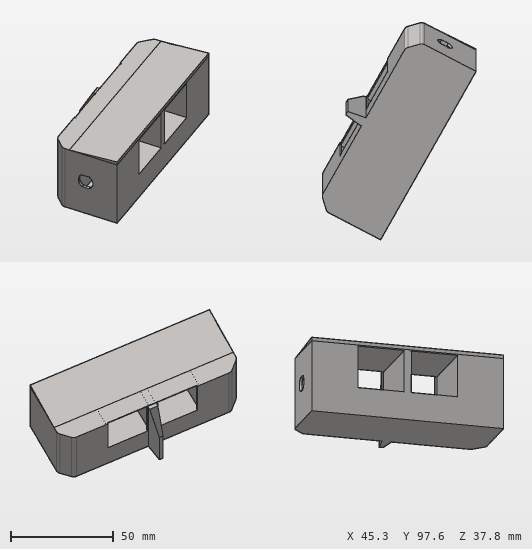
import cadquery as cq

BLOCK_LENGTH = 97.6
BLOCK_DEPTH = 35.9
BLOCK_HEIGHT = 35.9
CORNER_CHAMFER = 6.1
CORNER_RADIUS = 3.0

CAP_DEPTH = 26.2
TOTAL_HEIGHT = 37.8

WINDOW_SPAN = 48.6
WINDOW_FLOOR = 14.2
WINDOW_CEILING = 35.3
POST_WIDTH = 5.6
LIP_SETBACK = 0.4
LIP_DEPTH = 1.0
SIDE_RELIEF = 1.0

RIB_LENGTH = 9.4
RIB_TIP_WIDTH = 2.05
RIB_ROOT_WIDTH = 4.8
RIB_TIP_HEIGHT = 20.4
RIB_TOP_FLAT = 1.3

HOLE_DIAMETER = 8.0
HOLE_HEIGHT = 7.1
HOLE_X = -17.3
HOLE_Z = 19.4
END_WALL = 1.5
POCKET_LENGTH = 13.7
POCKET_STEP_X = 5.2
POCKET_LEDGE = 3.9
POCKET_DROP = 10.2

FRONT_X = -BLOCK_DEPTH
END_Y = -BLOCK_LENGTH / 2


def box(x_range, y_range, z_range):
    """Box between the given limits."""
    size = [high - low for low, high in (x_range, y_range, z_range)]
    corner = (x_range[0], y_range[0], z_range[0])
    return cq.Workplane("XY").box(*size, centered=False).translate(corner)


def prism_along_y(points, length):
    """XZ outline extruded symmetrically about Y = 0."""
    return cq.Workplane("XZ").polyline(points).close().extrude(length / 2, both=True)


def make_blank():
    """Block with chamfered front corners whose edges are rounded."""
    blank = box((FRONT_X, 0), (END_Y, -END_Y), (0, BLOCK_HEIGHT))
    blank = blank.edges("|Z and <X").chamfer(CORNER_CHAMFER)
    bevel_edges = cq.selectors.BoxSelector(
        (FRONT_X - 1, END_Y - 1, 0),
        (FRONT_X + CORNER_CHAMFER + 1, -END_Y + 1, BLOCK_HEIGHT),
    )
    return blank.edges("|Z").edges(bevel_edges).fillet(CORNER_RADIUS)


def make_windows():
    """Through windows with a sloped top front edge, wider behind the front lip."""
    profile = [
        (0, WINDOW_FLOOR),
        (FRONT_X, WINDOW_FLOOR),
        (FRONT_X, BLOCK_HEIGHT),
        (FRONT_X + LIP_SETBACK, BLOCK_HEIGHT),
        (FRONT_X + LIP_DEPTH, WINDOW_CEILING),
        (0, WINDOW_CEILING),
    ]
    opening = prism_along_y(profile, WINDOW_SPAN)
    lip_back = FRONT_X + LIP_DEPTH
    side = WINDOW_SPAN / 2 + SIDE_RELIEF
    relief = box((lip_back, 0), (-side, side), (WINDOW_FLOOR, WINDOW_CEILING))
    half_post = POST_WIDTH / 2
    half_web = half_post - SIDE_RELIEF
    post_front = box((FRONT_X, lip_back), (-half_post, half_post), (0, WINDOW_CEILING))
    post_web = box((lip_back, 0), (-half_web, half_web), (0, WINDOW_CEILING))
    return opening.union(relief).cut(post_front).cut(post_web)


def make_rib():
    """Rib narrowing to its tip, with a sloping top."""
    tip_x = FRONT_X - RIB_LENGTH
    plan = [
        (tip_x, RIB_TIP_WIDTH / 2),
        (FRONT_X, RIB_ROOT_WIDTH / 2),
        (FRONT_X + LIP_DEPTH, RIB_ROOT_WIDTH / 2),
    ]
    mirrored = [(x, -y) for x, y in reversed(plan)]
    rib = cq.Workplane("XY").polyline(plan + mirrored).close().extrude(WINDOW_CEILING)
    side = [
        (tip_x, 0),
        (tip_x, RIB_TIP_HEIGHT),
        (FRONT_X - RIB_TOP_FLAT, WINDOW_CEILING),
        (FRONT_X + LIP_DEPTH, WINDOW_CEILING),
        (FRONT_X + LIP_DEPTH, 0),
    ]
    return rib.intersect(prism_along_y(side, POST_WIDTH))


def make_hole():
    """Round hole with flats above and below, and the pocket behind it."""
    radius = HOLE_DIAMETER / 2
    bottom = HOLE_Z - HOLE_HEIGHT / 2
    top = HOLE_Z + HOLE_HEIGHT / 2
    left = HOLE_X - radius
    step_x = HOLE_X + POCKET_STEP_X
    wall_y = END_Y + END_WALL
    pocket_y = (wall_y, wall_y + POCKET_LENGTH)
    bore = (
        cq.Workplane("XZ", origin=(HOLE_X, END_Y, HOLE_Z))
        .circle(radius)
        .extrude(-END_WALL)
    )
    flats = box((left, HOLE_X + radius), (END_Y, wall_y), (bottom, top))
    deep_part = box((left, step_x), pocket_y, (HOLE_Z - POCKET_DROP, top))
    ledge_part = box((step_x, step_x + POCKET_LEDGE), pocket_y, (bottom, top))
    return bore.intersect(flats).union(deep_part).union(ledge_part)


def make_cap():
    """Wedge rising from the top of the block toward the back."""
    profile = [(-CAP_DEPTH, BLOCK_HEIGHT), (0, BLOCK_HEIGHT), (0, TOTAL_HEIGHT)]
    return prism_along_y(profile, BLOCK_LENGTH)


housing = make_blank().cut(make_windows()).union(make_rib()).cut(make_hole())
cap = make_cap()

result = cq.Compound.makeCompound([*housing.solids().vals(), cap.val()])